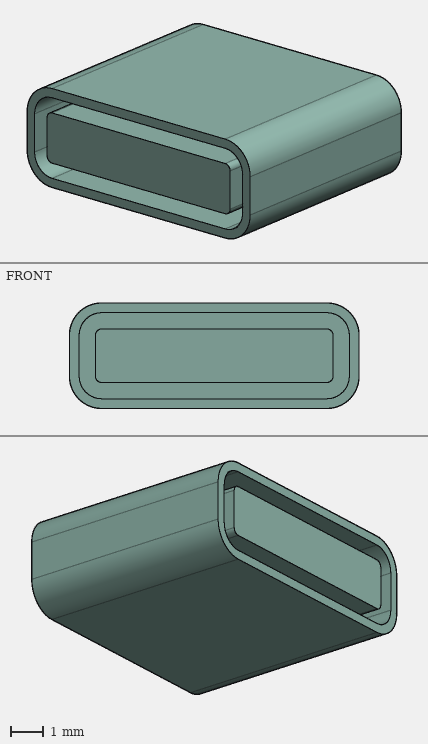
import cadquery as cq

width = 8.94
depth = 7.3
height = 3.26
corner_radius = 1.0
wall = 0.3

tongue_gap = 0.5
tongue_radius = 0.2
cavity_depth = 5.36


def rounded_bar(inset, radius, front, back):
    """Bar along Y, inset from the sleeve's outline, with its long edges rounded."""
    return (
        cq.Workplane("XY")
        .box(width - 2 * inset, back - front, height - 2 * inset)
        .edges("|Y")
        .fillet(radius)
        .translate((0, (front + back) / 2, 0))
    )


front_face = -depth / 2
back_face = depth / 2
cavity_floor = front_face + cavity_depth

sleeve = rounded_bar(0, corner_radius, front_face, back_face)
cavity = rounded_bar(wall, corner_radius - wall, front_face, cavity_floor)
tongue = rounded_bar(wall + tongue_gap, tongue_radius, front_face, back_face - wall)

result = sleeve.cut(cavity).union(tongue)